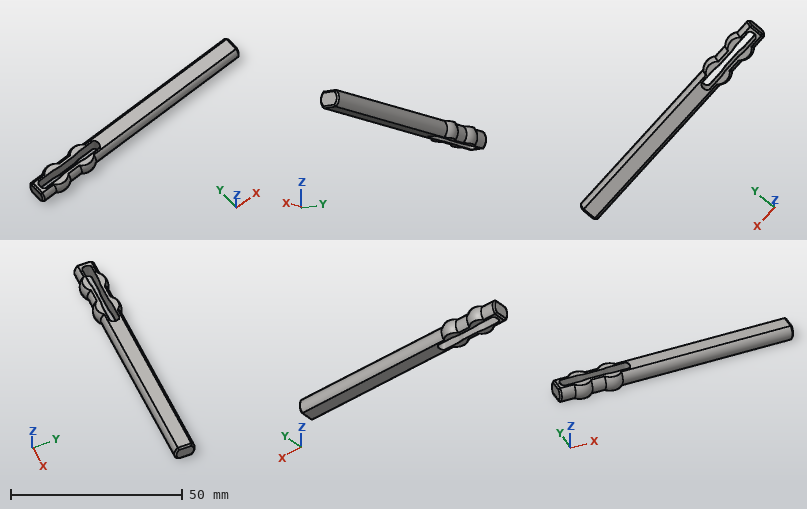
import cadquery as cq

length = 75.0
rod_radius = 3.3
thickness = 5.0
end_chamfer = 0.5

bulge_radius = 4.3
bulge_positions = (7.65, 17.4)

slot_start = 1.4
slot_end = 23.7
slot_width = 3.0
waist_width = 2.5
slot_end_bow = 0.6
slot_corner_radius = 1.0
waist_taper_length = 1.9
waist_taper_start, waist_taper_end = bulge_positions
waist_start = waist_taper_start + waist_taper_length
waist_end = waist_taper_end - waist_taper_length


def make_flatted_rod():
    """Rod cut to two flats, with every edge of both end faces chamfered."""
    rod = cq.Workplane("YZ").circle(rod_radius).extrude(length)
    slab = cq.Workplane("XY").box(length, 2 * rod_radius, thickness, centered=(False, True, True))
    return rod.intersect(slab).faces("<X or >X").chamfer(end_chamfer)


def make_bulge(position):
    """Sphere on the rod axis, cut to the thickness of the bar."""
    slab = cq.Workplane("XY").box(2 * bulge_radius, 2 * bulge_radius, thickness)
    ball = cq.Workplane("XY").sphere(bulge_radius, direct=(1, 0, 0))
    return ball.intersect(slab).translate((position, 0, 0))


def make_slot_cutter():
    """Waisted slot with bowed ends and rounded corners, through the full thickness."""
    half_slot = slot_width / 2
    half_waist = waist_width / 2
    upper_side = [
        (slot_start + slot_end_bow, half_slot),
        (waist_taper_start, half_slot),
        (waist_start, half_waist),
        (waist_end, half_waist),
        (waist_taper_end, half_slot),
        (slot_end - slot_end_bow, half_slot),
    ]
    lower_side = [(x, -y) for x, y in reversed(upper_side)]
    cutter = (
        cq.Workplane("XY")
        .polyline(upper_side)
        .threePointArc((slot_end, 0), lower_side[0])
        .polyline(lower_side[1:], includeCurrent=True)
        .threePointArc((slot_start, 0), upper_side[0])
        .close()
        .extrude(thickness, both=True)
    )
    return cutter.edges("|Z").edges("<X or >X").fillet(slot_corner_radius)


result = make_flatted_rod()
for bulge_position in bulge_positions:
    result = result.union(make_bulge(bulge_position))
result = result.cut(make_slot_cutter())